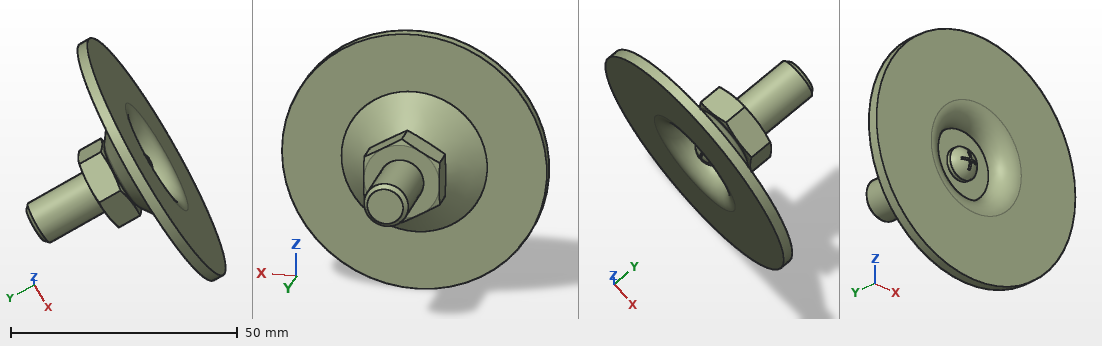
import cadquery as cq
import math

overall_length = 31.0

plate_diameter = 60.0
plate_thickness = 2.5
hub_base_diameter = 33.0
hub_top_diameter = 16.8
hub_top_y = 8.4
neck_diameter = 15.0

nut_start_y = 8.9
nut_end_y = 15.05
nut_across_flats = 17.1
nut_across_corners = nut_across_flats / math.cos(math.pi / 6)
nut_chamfer_angle = 15.0
nut_chamfer_height = (nut_across_corners - nut_across_flats) / 2 * math.tan(math.radians(nut_chamfer_angle))

stud_diameter = 10.0
stud_chamfer = 0.95

recess_floor_diameter = 17.0
recess_depth = 5.1

head_diameter = 8.0
head_rim_height = 1.0
head_dome_height = 2.4
cross_length = 4.2
cross_width = 0.55
cross_depth = 1.0


def revolve_about_y(profile):
    """Turn a closed XY profile around the Y axis."""
    return profile.close().revolve(360, (0, 0, 0), (0, 1, 0))


def make_foot():
    profile = (
        cq.Workplane("XY")
        .lineTo(plate_diameter / 2, 0)
        .lineTo(plate_diameter / 2, plate_thickness)
        .lineTo(hub_base_diameter / 2, plate_thickness)
        .lineTo(hub_top_diameter / 2, hub_top_y)
        .lineTo(neck_diameter / 2, nut_start_y)
        .lineTo(0, nut_start_y)
    )
    return revolve_about_y(profile)


def make_recess():
    floor_radius = recess_floor_diameter / 2
    wall_radius = recess_depth
    diagonal = wall_radius * math.sqrt(0.5)
    arc_center_x = floor_radius + wall_radius
    profile = (
        cq.Workplane("XY")
        .lineTo(arc_center_x, 0)
        .threePointArc(
            (arc_center_x - diagonal, wall_radius - diagonal),
            (floor_radius, recess_depth),
        )
        .lineTo(0, recess_depth)
    )
    return revolve_about_y(profile)


def make_nut():
    hexagon = (
        cq.Workplane("XZ", origin=(0, nut_start_y, 0))
        .transformed(rotate=(0, 0, 90))
        .polygon(6, nut_across_corners)
        .extrude(nut_start_y - nut_end_y)
    )
    flat_radius = nut_across_flats / 2
    corner_radius = nut_across_corners / 2
    chamfer_envelope = (
        cq.Workplane("XY")
        .moveTo(0, nut_start_y)
        .lineTo(flat_radius, nut_start_y)
        .lineTo(corner_radius, nut_start_y + nut_chamfer_height)
        .lineTo(corner_radius, nut_end_y - nut_chamfer_height)
        .lineTo(flat_radius, nut_end_y)
        .lineTo(0, nut_end_y)
    )
    return hexagon.intersect(revolve_about_y(chamfer_envelope))


def make_stud():
    return (
        cq.Workplane("XZ", origin=(0, nut_end_y, 0))
        .circle(stud_diameter / 2)
        .extrude(nut_end_y - overall_length)
        .faces(">Y")
        .chamfer(stud_chamfer)
    )


def make_screw_head():
    head_radius = head_diameter / 2
    rim_y = recess_depth - head_rim_height
    crown_y = rim_y - head_dome_height
    dome_radius = (head_radius**2 + head_dome_height**2) / (2 * head_dome_height)
    half_angle = math.asin(head_radius / dome_radius) / 2
    dome_midpoint = (
        dome_radius * math.sin(half_angle),
        crown_y + dome_radius * (1 - math.cos(half_angle)),
    )
    profile = (
        cq.Workplane("XY")
        .moveTo(0, recess_depth)
        .lineTo(head_radius, recess_depth)
        .lineTo(head_radius, rim_y)
        .threePointArc(dome_midpoint, (0, crown_y))
    )
    cross_slot = (
        cq.Workplane("XZ", origin=(0, crown_y, 0))
        .rect(cross_length, cross_width)
        .extrude(-cross_depth)
    )
    cross = cross_slot.union(cross_slot.rotate((0, 0, 0), (0, 1, 0), 90))
    return revolve_about_y(profile).cut(cross)


result = (
    make_foot()
    .cut(make_recess())
    .union(make_nut())
    .union(make_stud())
    .union(make_screw_head())
)